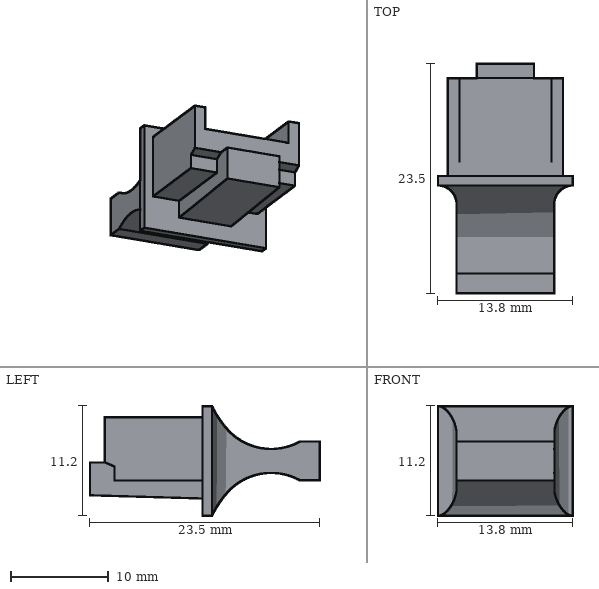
import cadquery as cq

flange_width = 13.8
flange_height = 11.2
flange_thickness = 0.99

grip_width = 10.0
grip_end_y = -12.0
grip_end_length = 2.02
grip_end_height = 4.0
waist_y = -7.05
waist_height = 2.47
root_fillet = (flange_width - grip_width) / 2
root_end_y = -flange_thickness - root_fillet
root_end_height = 5.78
root_mid_y = -1.76
root_mid_height = 8.5

body_width = 11.8
body_length = 9.99
body_top = 4.5
body_bottom = -2.02
step_length = 0.99
step_drop = 0.42

pocket_width = 9.42
pocket_start_y = 1.48
pocket_depth = 2.35

tongue_width = 5.88
tongue_end_y = 23.5 + grip_end_y
tongue_top = -0.15
tongue_end_bottom = -3.52
tongue_root_bottom = -3.85


def extrude_side_profile(profile, width):
    """Extrude a closed YZ profile symmetrically about X = 0."""
    return profile.close().extrude(width / 2, both=True)


def make_flange():
    return cq.Workplane("XY").box(
        flange_width, flange_thickness, flange_height
    ).translate((0, -flange_thickness / 2, 0))


def make_grip():
    end_block_y = grip_end_y + grip_end_length
    side = (
        cq.Workplane("YZ")
        .moveTo(-flange_thickness, flange_height / 2)
        .threePointArc((root_mid_y, root_mid_height / 2), (root_end_y, root_end_height / 2))
        .threePointArc((waist_y, waist_height / 2), (end_block_y, grip_end_height / 2))
        .lineTo(grip_end_y, grip_end_height / 2)
        .lineTo(grip_end_y, -grip_end_height / 2)
        .lineTo(end_block_y, -grip_end_height / 2)
        .threePointArc((waist_y, -waist_height / 2), (root_end_y, -root_end_height / 2))
        .threePointArc((root_mid_y, -root_mid_height / 2), (-flange_thickness, -flange_height / 2))
    )
    grip = extrude_side_profile(side, flange_width)

    arc_offset = root_fillet * 0.5**0.5
    half_grip = grip_width / 2
    half_flange = flange_width / 2
    plan = (
        cq.Workplane("XY", origin=(0, 0, -flange_height / 2))
        .moveTo(half_flange, -flange_thickness)
        .threePointArc((half_flange - arc_offset, root_end_y + arc_offset), (half_grip, root_end_y))
        .lineTo(half_grip, grip_end_y)
        .lineTo(-half_grip, grip_end_y)
        .lineTo(-half_grip, root_end_y)
        .threePointArc((arc_offset - half_flange, root_end_y + arc_offset), (-half_flange, -flange_thickness))
        .close()
        .extrude(flange_height)
    )
    return grip.intersect(plan)


def make_body():
    side = cq.Workplane("YZ").polyline([
        (0, body_bottom),
        (body_length - step_length, body_bottom),
        (body_length - step_length, tongue_top - step_drop),
        (body_length, tongue_top),
        (body_length, body_top),
        (0, body_top),
    ])
    ramp = cq.Workplane("YZ").polyline([
        (pocket_start_y, body_top),
        (body_length, body_top),
        (body_length, body_top - pocket_depth),
    ])
    body = extrude_side_profile(side, body_width)
    return body.cut(extrude_side_profile(ramp, pocket_width))


def make_tongue():
    side = cq.Workplane("YZ").polyline([
        (0, tongue_root_bottom),
        (tongue_end_y, tongue_end_bottom),
        (tongue_end_y, tongue_top),
        (0, tongue_top),
    ])
    return extrude_side_profile(side, tongue_width)


result = make_flange().union(make_grip()).union(make_body()).union(make_tongue())